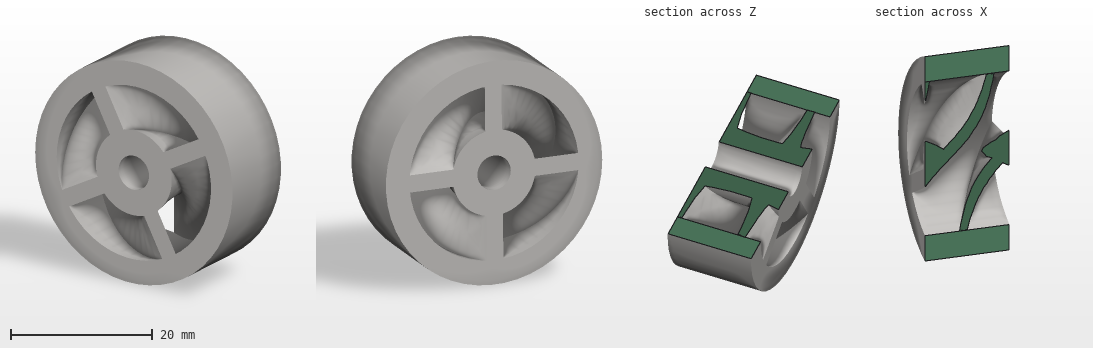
import cadquery as cq

rim_diameter = 33.02
width = 12.7

rim_inner_radius = 12.9
hub_radius = 6.35
waist_radius = 5.6
bore_radius = 2.55

blade_pair_count = 2
blade_thickness = 2.55
blade_angle = 27.3
blade_twist = 118.0

front_plane = cq.Plane(origin=(0, -width / 2, 0), xDir=(-1, 0, 0), normal=(0, 1, 0))


def make_cylinder(radius):
    """Full-width cylinder on the wheel axis."""
    return cq.Workplane(front_plane).circle(radius).extrude(width)


def make_rim():
    """Plain ring around the blades."""
    return make_cylinder(rim_diameter / 2).cut(make_cylinder(rim_inner_radius))


def make_blade_pair(start_angle):
    """Two opposite blades as one bar across the wheel, twisted along the width."""
    return (
        cq.Workplane(front_plane)
        .transformed(rotate=(0, 0, start_angle))
        .rect(rim_diameter, blade_thickness)
        .twistExtrude(width, blade_twist)
    )


def make_hub():
    """Hub turned with a concave outer side, narrowest halfway along the width."""
    return (
        cq.Workplane("XY")
        .moveTo(0, -width / 2)
        .lineTo(hub_radius, -width / 2)
        .threePointArc((waist_radius, 0), (hub_radius, width / 2))
        .lineTo(0, width / 2)
        .close()
        .revolve(360, (0, 0, 0), (0, 1, 0))
    )


def make_impeller():
    """Hub with the twisted blades joined to it, trimmed to the rim wall and bored through."""
    impeller = make_hub()
    for index in range(blade_pair_count):
        start_angle = index * 180 / blade_pair_count - blade_angle
        impeller = impeller.union(make_blade_pair(start_angle))
    return impeller.intersect(make_cylinder(rim_inner_radius)).cut(make_cylinder(bore_radius))


rim = make_rim()
impeller = make_impeller()

result = cq.Compound.makeCompound([rim.val(), impeller.val()])